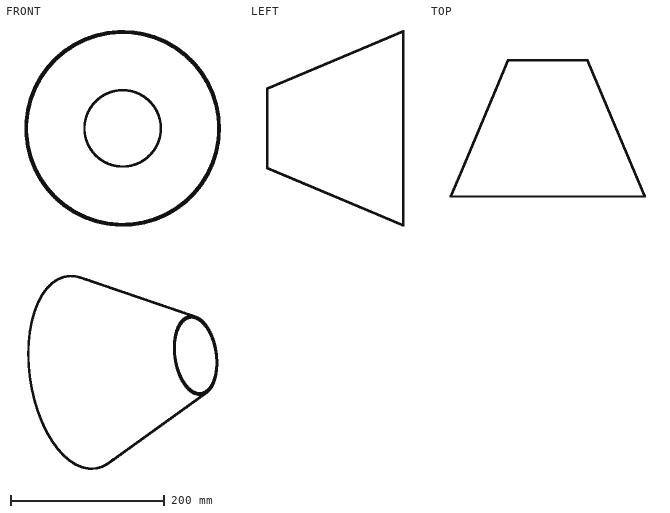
import cadquery as cq
import math

wide_diameter = 254.0
narrow_diameter = 104.0
length = 178.0
sheet_thickness = 2.0

wide_radius = wide_diameter / 2
narrow_radius = narrow_diameter / 2

slope_angle = math.atan2(wide_radius - narrow_radius, length)
rim_width = sheet_thickness / math.cos(slope_angle)

wall_section = [
    (wide_radius - rim_width, 0),
    (wide_radius, 0),
    (narrow_radius, length),
    (narrow_radius - rim_width, length),
]

result = cq.Workplane("XY").polyline(wall_section).close().revolve(360, (0, 0, 0), (0, 1, 0))